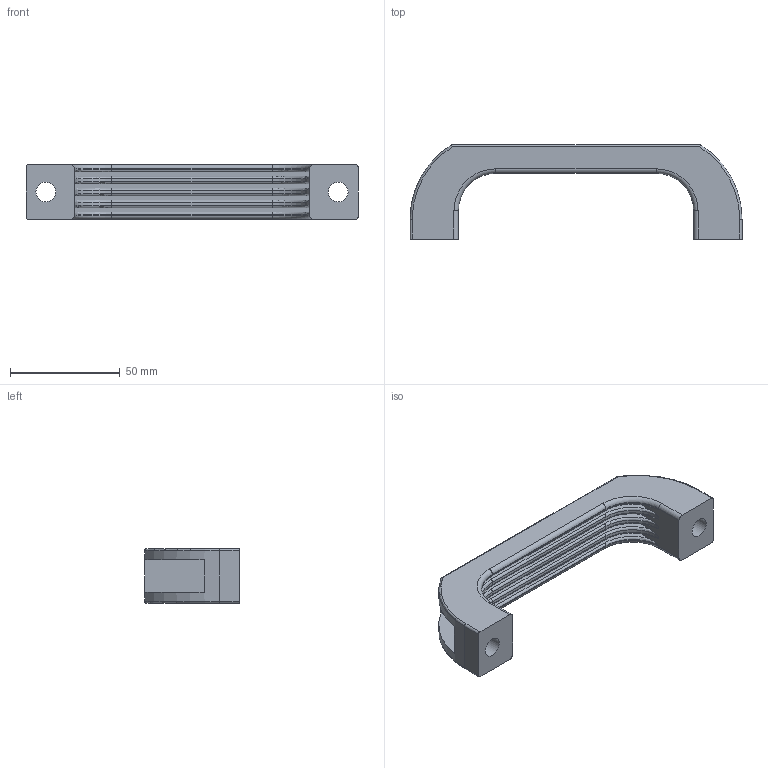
import cadquery as cq
import math

LENGTH = 151.0
DEPTH = 43.0
HEIGHT = 25.0
LEG_WIDTH = 22.0
GRIP_THICKNESS = 13.0
OUTER_RADIUS = 40.0
OUTER_ARC_START = 9.0
INNER_RADIUS = 17.0
OUTER_EDGE_FILLET = 1.0
INNER_EDGE_FILLET = 2.0

RIB_COUNT = 5
GROOVE_WIDTH = 2.0
GROOVE_DEPTH = 3.0
RIB_FILLET = 1.0

HOLE_DIAMETER = 9.0
HOLE_EDGE_DISTANCE = 9.0
POCKET_HEIGHT = 15.0
POCKET_FLOOR = 16.0

HALF_LENGTH = LENGTH / 2
LEG_INNER = HALF_LENGTH - LEG_WIDTH
GRIP_INNER = DEPTH - GRIP_THICKNESS
ARC_CENTER_X = HALF_LENGTH - OUTER_RADIUS
HALF_TOP = ARC_CENTER_X + math.sqrt(OUTER_RADIUS**2 - (DEPTH - OUTER_ARC_START) ** 2)
RIB_WIDTH = (HEIGHT - (RIB_COUNT - 1) * GROOVE_WIDTH) / RIB_COUNT
RIB_PITCH = RIB_WIDTH + GROOVE_WIDTH
OUTER_RIB_CENTER = (HEIGHT - RIB_WIDTH) / 2
POCKET_WALL_X = HALF_TOP
HOLE_X = HALF_LENGTH - HOLE_EDGE_DISTANCE


def outer_plate(height):
    """Plate with the outer outline of the handle, centred on Z = 0."""
    arc_middle_angle = math.asin((DEPTH - OUTER_ARC_START) / OUTER_RADIUS) / 2
    arc_middle_x = ARC_CENTER_X + OUTER_RADIUS * math.cos(arc_middle_angle)
    arc_middle_y = OUTER_ARC_START + OUTER_RADIUS * math.sin(arc_middle_angle)
    outline = (
        cq.Workplane("XY")
        .moveTo(-HALF_LENGTH, 0)
        .lineTo(HALF_LENGTH, 0)
        .lineTo(HALF_LENGTH, OUTER_ARC_START)
        .threePointArc((arc_middle_x, arc_middle_y), (HALF_TOP, DEPTH))
        .lineTo(-HALF_TOP, DEPTH)
        .threePointArc((-arc_middle_x, arc_middle_y), (-HALF_LENGTH, OUTER_ARC_START))
        .close()
    )
    return outline.extrude(height / 2, both=True)


def opening(depth, height):
    """Square-cornered block between the legs, from Y = 0 up to the given depth."""
    return cq.Workplane("XY").box(2 * LEG_INNER, depth, height).translate((0, depth / 2, 0))


def handle_plate(height):
    """U-shaped plate with rounded inner corners."""
    rounded_opening = opening(GRIP_INNER, height).edges("|Z and >Y").fillet(INNER_RADIUS)
    return outer_plate(height).cut(rounded_opening)


def inner_edge_selector():
    """Selector for edges lying wholly on the U opening."""
    margin = LEG_WIDTH / 10
    low_corner = (-LEG_INNER - margin, -margin, -HEIGHT)
    high_corner = (LEG_INNER + margin, GRIP_INNER + margin, HEIGHT)
    return cq.selectors.BoxSelector(low_corner, high_corner, boundingbox=True)


def middle_rib(z_center):
    """Rib with both of its inner edges rounded."""
    plate = handle_plate(RIB_WIDTH)
    for face in ("<Z", ">Z"):
        plate = plate.faces(face).edges(inner_edge_selector()).fillet(RIB_FILLET)
    return plate.translate((0, 0, z_center))


def top_rib():
    """Rib at the top of the handle, with the rounded outer edges of the handle."""
    plate = handle_plate(RIB_WIDTH)
    plate = plate.faces("<Z").edges(inner_edge_selector()).fillet(RIB_FILLET)
    plate = plate.faces(">Z").edges(inner_edge_selector()).fillet(INNER_EDGE_FILLET)
    leg_ends = cq.selectors.StringSyntaxSelector("<Y")
    outer_edges = cq.selectors.InverseSelector(inner_edge_selector() + leg_ends)
    plate = plate.faces(">Z").edges(outer_edges).fillet(OUTER_EDGE_FILLET)
    return plate.translate((0, 0, OUTER_RIB_CENTER))


def core():
    """Square-cornered body behind the ribs, reaching to the flat crests of the end ribs."""
    crest_width = RIB_WIDTH - RIB_FILLET - INNER_EDGE_FILLET
    height = HEIGHT - 2 * INNER_EDGE_FILLET - crest_width
    return outer_plate(height).cut(opening(GRIP_INNER + GROOVE_DEPTH, height))


def mounting_cuts(side):
    """Screw hole and the pocket for its head in the leg on the given side (-1 or 1)."""
    hole = cq.Workplane("XZ").circle(HOLE_DIAMETER / 2).extrude(-DEPTH).translate((side * HOLE_X, 0, 0))
    pocket_width = HALF_LENGTH - POCKET_WALL_X
    pocket_depth = DEPTH - POCKET_FLOOR
    pocket = cq.Workplane("XY").box(pocket_width, pocket_depth, POCKET_HEIGHT)
    pocket = pocket.translate((side * (POCKET_WALL_X + pocket_width / 2), POCKET_FLOOR + pocket_depth / 2, 0))
    return pocket.union(hole)


end_rib = top_rib()
result = core().union(end_rib).union(end_rib.mirror("XY"))
for index in range(1, RIB_COUNT - 1):
    result = result.union(middle_rib(OUTER_RIB_CENTER - index * RIB_PITCH))
for side in (-1, 1):
    result = result.cut(mounting_cuts(side))